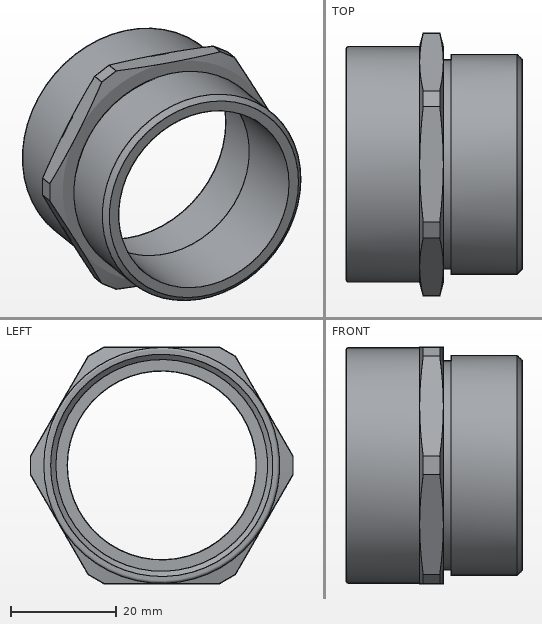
import cadquery as cq
import math

overall_length = 33.5
hex_start = 14.0
hex_end = 18.5
thread_start = 20.0
socket_depth = 16.0

hex_across_flats = 45.0
hex_across_corners = 49.95
hex_bevel_angle = 15
half_corner_spacing = 360 / 6 / 2
flat_to_corner = math.cos(math.radians(half_corner_spacing))

sleeve_radius = 22.45
neck_radius = 19.95
thread_radius = 20.95

socket_radius = 20.15
bore_radius = 17.95

mouth_outer_fillet = 0.5
mouth_inner_chamfer = 1.0
thread_end_chamfer = 1.0


def disc(radius, start, end):
    """Round bar around the X axis between two positions."""
    return cq.Workplane("YZ", origin=(start, 0, 0)).circle(radius).extrude(end - start)


def revolved(profile):
    """Solid of revolution around the X axis from (position, radius) points."""
    return cq.Workplane("XY").polyline(profile).close().revolve(360, (0, 0, 0), (1, 0, 0))


def make_sleeve():
    """Smooth sleeve with a rounded mouth edge."""
    return disc(sleeve_radius, 0, hex_start).faces("<X").edges().fillet(mouth_outer_fillet)


def hex_bar(across_flats, corner_angle):
    """Hexagonal bar as long as the collar, its corners turned by the given angle in degrees."""
    corner_diameter = across_flats / flat_to_corner
    return (
        cq.Workplane("YZ", origin=(hex_start, 0, 0))
        .polygon(6, corner_diameter)
        .extrude(hex_end - hex_start)
        .rotate((0, 0, 0), (1, 0, 0), corner_angle)
    )


def make_collar():
    """Hexagon with flattened corners and both faces bevelled by a cone."""
    flats = hex_bar(hex_across_flats, 0)
    corner_flats = hex_bar(hex_across_corners, half_corner_spacing)
    face_radius = hex_across_flats / 2
    rim_radius = face_radius / flat_to_corner
    rim_inset = (rim_radius - face_radius) * math.tan(math.radians(hex_bevel_angle))
    envelope = revolved([
        (hex_start, 0),
        (hex_start, face_radius),
        (hex_start + rim_inset, rim_radius),
        (hex_end - rim_inset, rim_radius),
        (hex_end, face_radius),
        (hex_end, 0),
    ])
    return flats.intersect(corner_flats).intersect(envelope)


def make_thread():
    """Plain thread body with a chamfered free end."""
    body = disc(thread_radius, thread_start, overall_length)
    return body.faces(">X").edges().chamfer(thread_end_chamfer)


def make_cavity():
    """Through bore, wider socket on the sleeve side and the chamfer at its mouth."""
    bore = disc(bore_radius, 0, overall_length)
    socket = disc(socket_radius, 0, socket_depth)
    mouth = revolved([
        (0, 0),
        (0, socket_radius + mouth_inner_chamfer),
        (mouth_inner_chamfer, socket_radius),
        (mouth_inner_chamfer, 0),
    ])
    return bore.union(socket).union(mouth)


neck = disc(neck_radius, hex_end, thread_start)
body = make_sleeve().union(make_collar()).union(neck).union(make_thread())
result = body.cut(make_cavity())